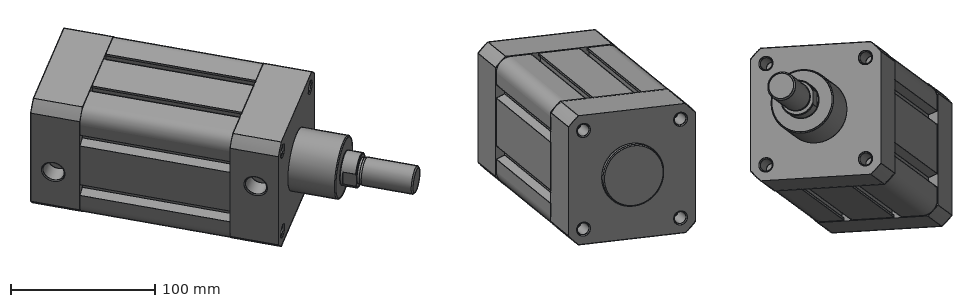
import cadquery as cq


REAR_PILOT_LENGTH = 3.5
REAR_CAP_LENGTH = 35.5
BARREL_LENGTH = 108.0
FRONT_CAP_LENGTH = 34.8
BOSS_LENGTH = 34.3
TOTAL_LENGTH = 268.0
REAR_CAP_START = REAR_PILOT_LENGTH
BARREL_START = REAR_CAP_START + REAR_CAP_LENGTH
FRONT_CAP_START = BARREL_START + BARREL_LENGTH
FRONT_CAP_END = FRONT_CAP_START + FRONT_CAP_LENGTH
ROD_START = FRONT_CAP_END + BOSS_LENGTH

CAP_SIZE = 94.0
CAP_CORNER_DIAMETER = 123.0
PILOT_DIAMETER = 45.0
PILOT_CHAMFER = 0.8
SCREW_SPACING = 71.8
SCREW_HOLE_DIAMETER = 8.5
SCREW_HOLE_DEPTH = 16.0
SCREW_HOLE_CHAMFER = 0.8
PORT_DIAMETER = 15.3
PORT_DEPTH = 13.5
PORT_CHAMFER = 0.8
PORT_END_DISTANCE = 16.3
PORT_OFFSET = 9.6

BARREL_SIZE = 93.0
BARREL_CORNER_RADIUS = 10.5
SIDE_GROOVE_OFFSET = 22.2
SIDE_GROOVE_MOUTH = 9.6
SIDE_GROOVE_FLOOR = 4.8
SIDE_GROOVE_DEPTH = 6.2
TOP_SLOT_OFFSET = 18.0
TOP_SLOT_WIDTH = 5.4
TOP_SLOT_LIP = 1.5
TOP_SLOT_INNER_WIDTH = 8.0
TOP_SLOT_DEPTH = 6.2

ROD_DIAMETER = 25.0
FLAT_WIDTH = 22.5
FLAT_SETBACK = 2.1
FLAT_START = ROD_START + FLAT_SETBACK
SHOULDER_LENGTH = 11.8
SHOULDER_CHAMFER = 0.5
NECK_DIAMETER = 18.8
NECK_LENGTH = 1.5
NECK_TAPER_LENGTH = 1.5
STUD_DIAMETER = 20.0
STUD_CHAMFER = 1.0


def cap_block(start, length):
    """Square block whose corners are rounded off about the cylinder axis."""
    square = cq.Workplane("YZ", origin=(start, 0, 0)).rect(CAP_SIZE, CAP_SIZE).extrude(length)
    round_bar = cq.Workplane("YZ", origin=(start, 0, 0)).circle(CAP_CORNER_DIAMETER / 2).extrude(length)
    return square.intersect(round_bar)


def chamfered_hole(plane, diameter, depth, chamfer):
    """Blind hole cutter with a countersunk mouth; the plane's normal points into the part."""
    hole = cq.Workplane(plane).circle(diameter / 2).extrude(depth)
    mouth_diameter = diameter + 2 * chamfer
    mouth = (
        cq.Workplane(plane)
        .circle(mouth_diameter / 2)
        .workplane(offset=chamfer)
        .circle(diameter / 2)
        .loft()
    )
    return hole.union(mouth)


def cut_screw_holes(cap, face_x, inward):
    """Four screw holes in the outer face of a cap; inward is +1 or -1 along X."""
    half_spacing = SCREW_SPACING / 2
    for y in (-half_spacing, half_spacing):
        for z in (-half_spacing, half_spacing):
            plane = cq.Plane(origin=(face_x, y, z), xDir=(0, 1, 0), normal=(inward, 0, 0))
            cap = cap.cut(
                chamfered_hole(plane, SCREW_HOLE_DIAMETER, SCREW_HOLE_DEPTH, SCREW_HOLE_CHAMFER)
            )
    return cap


def cut_port(cap, x, z):
    """Air port in the -Y side of a cap."""
    plane = cq.Plane(origin=(x, -CAP_SIZE / 2, z), xDir=(1, 0, 0), normal=(0, 1, 0))
    return cap.cut(chamfered_hole(plane, PORT_DIAMETER, PORT_DEPTH, PORT_CHAMFER))


def pilot(start, length):
    return cq.Workplane("YZ", origin=(start, 0, 0)).circle(PILOT_DIAMETER / 2).extrude(length)


def make_rear_cap():
    rear_pilot = pilot(0, REAR_PILOT_LENGTH).faces("<X").chamfer(PILOT_CHAMFER)
    cap = cap_block(REAR_CAP_START, REAR_CAP_LENGTH).union(rear_pilot)
    cap = cut_screw_holes(cap, REAR_CAP_START, 1)
    return cut_port(cap, REAR_CAP_START + PORT_END_DISTANCE, -PORT_OFFSET)


def make_front_cap():
    boss = pilot(FRONT_CAP_END, BOSS_LENGTH).faces(">X").chamfer(PILOT_CHAMFER)
    cap = cap_block(FRONT_CAP_START, FRONT_CAP_LENGTH).union(boss)
    cap = cut_screw_holes(cap, FRONT_CAP_END, -1)
    return cut_port(cap, FRONT_CAP_END - PORT_END_DISTANCE, PORT_OFFSET)


def lengthwise_cutter(outline):
    """Cutter along the whole barrel from a (Y, Z) outline of a groove in its +Z side."""
    return cq.Workplane("YZ", origin=(BARREL_START, 0, 0)).polyline(outline).close().extrude(BARREL_LENGTH)


def tapered_groove(offset):
    """Groove with sloping walls, centred at Y = offset."""
    surface = BARREL_SIZE / 2
    floor = surface - SIDE_GROOVE_DEPTH
    half_mouth = SIDE_GROOVE_MOUTH / 2
    half_floor = SIDE_GROOVE_FLOOR / 2
    return lengthwise_cutter(
        [
            (offset - half_mouth, surface),
            (offset + half_mouth, surface),
            (offset + half_floor, floor),
            (offset - half_floor, floor),
        ]
    )


def t_slot(offset):
    """Slot that is wider below its lips, centred at Y = offset."""
    surface = BARREL_SIZE / 2
    lip = surface - TOP_SLOT_LIP
    floor = surface - TOP_SLOT_DEPTH
    half_mouth = TOP_SLOT_WIDTH / 2
    half_inside = TOP_SLOT_INNER_WIDTH / 2
    return lengthwise_cutter(
        [
            (offset - half_mouth, surface),
            (offset + half_mouth, surface),
            (offset + half_mouth, lip),
            (offset + half_inside, lip),
            (offset + half_inside, floor),
            (offset - half_inside, floor),
            (offset - half_inside, lip),
            (offset - half_mouth, lip),
        ]
    )


def make_barrel():
    barrel = (
        cq.Workplane("YZ", origin=(BARREL_START, 0, 0))
        .rect(BARREL_SIZE, BARREL_SIZE)
        .extrude(BARREL_LENGTH)
        .edges("|X")
        .fillet(BARREL_CORNER_RADIUS)
    )
    for side in (-1, 1):
        slot = t_slot(side * TOP_SLOT_OFFSET)
        groove = tapered_groove(side * SIDE_GROOVE_OFFSET)
        for half_turn in (0, 180):
            barrel = barrel.cut(slot.rotate((0, 0, 0), (1, 0, 0), half_turn))
            barrel = barrel.cut(groove.rotate((0, 0, 0), (1, 0, 0), half_turn + 90))
    return barrel


def make_rod():
    """Turned rod standing on the boss face, with two wrench flats and a chamfered stud."""
    shoulder_end = ROD_START + SHOULDER_LENGTH
    taper_start = shoulder_end + NECK_LENGTH
    taper_end = taper_start + NECK_TAPER_LENGTH
    rod = (
        cq.Workplane("XZ")
        .polyline(
            [
                (ROD_START, 0),
                (ROD_START, ROD_DIAMETER / 2 - SHOULDER_CHAMFER),
                (ROD_START + SHOULDER_CHAMFER, ROD_DIAMETER / 2),
                (shoulder_end - SHOULDER_CHAMFER, ROD_DIAMETER / 2),
                (shoulder_end, ROD_DIAMETER / 2 - SHOULDER_CHAMFER),
                (shoulder_end, NECK_DIAMETER / 2),
                (taper_start, NECK_DIAMETER / 2),
                (taper_end, STUD_DIAMETER / 2),
                (TOTAL_LENGTH - STUD_CHAMFER, STUD_DIAMETER / 2),
                (TOTAL_LENGTH, STUD_DIAMETER / 2 - STUD_CHAMFER),
                (TOTAL_LENGTH, 0),
            ]
        )
        .close()
        .revolve(360, (0, 0, 0), (1, 0, 0))
    )
    flat_length = shoulder_end - FLAT_START
    for side in (-1, 1):
        flat_cut = cq.Workplane("XY").box(
            flat_length, ROD_DIAMETER, ROD_DIAMETER, centered=(False, True, True)
        )
        rod = rod.cut(flat_cut.translate((FLAT_START, side * (FLAT_WIDTH + ROD_DIAMETER) / 2, 0)))
    return rod


rear_cap = make_rear_cap()
barrel = make_barrel()
front_cap = make_front_cap()
rod = make_rod()

result = cq.Compound.makeCompound([rear_cap.val(), barrel.val(), front_cap.val(), rod.val()])